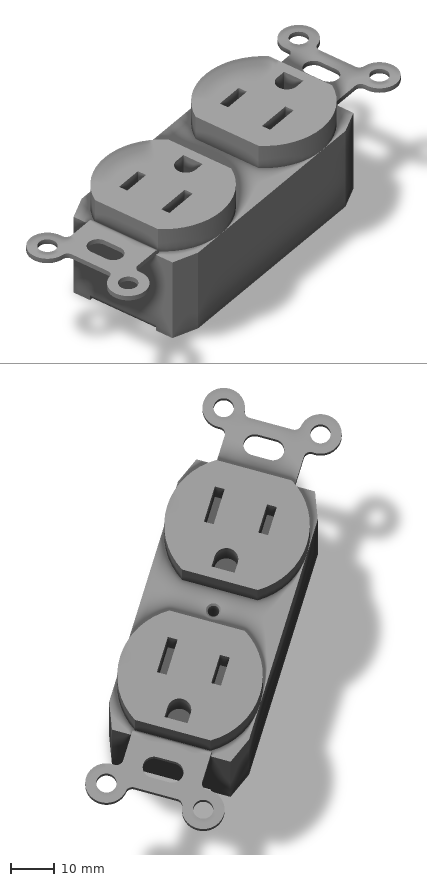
import cadquery as cq
import math

housing_width = 33.6
housing_length = 69.8
housing_height = 22.2
corner_clip_x = 2.6
corner_clip_y = 6.5

face_diameter = housing_width
face_flat_length = 28.3
face_height = 6.5
face_offset = 19.4
face_top = housing_height + face_height

blade_width = 2.3
blade_offset_x = 6.4
blade_offset_y = -3.2
neutral_length = 7.3
hot_length = 9.1
ground_radius = 2.8
ground_arc_y = 8.9
ground_top_y = 11.5
opening_depth = face_height

screw_hole_diameter = 2.7
countersink_diameter = 3.5
screw_hole_depth = housing_height / 2

overall_length = 106.7
strap_width = 19.0
strap_thickness = 1.3
bend_inner_radius = 0.3
bend_outer_radius = bend_inner_radius + strap_thickness
strap_top = housing_height + strap_thickness
leg_outer_y = housing_length / 2
leg_inner_y = leg_outer_y - strap_thickness
leg_bend_y = leg_inner_y + bend_outer_radius

ring_radius = 4.9
ring_hole_diameter = 4.7
ring_offset_x = 11.6
ring_offset_y = overall_length / 2 - ring_radius
ear_end_y = 47.7
ear_fillet = 1.6
ear_slot_length = 9.6
ear_slot_width = 5.2
ear_slot_y = 41.6


def mirror_ends(shape):
    """Return the shape joined with its mirror image at the other end."""
    return shape.union(shape.mirror("XZ"))


def make_strap_strip():
    """Bent strip: bottom web, two legs in the housing ends, bends toward the ears."""
    turn = math.sqrt(0.5)
    lower_center = (leg_outer_y - bend_outer_radius, bend_outer_radius)
    upper_center = (leg_bend_y, strap_top - bend_outer_radius)

    def on_arc(center, radius, side_y, side_z):
        return (center[0] + side_y * radius * turn, center[1] + side_z * radius * turn)

    half_strip = (
        cq.Workplane("YZ")
        .moveTo(0, 0)
        .lineTo(lower_center[0], 0)
        .threePointArc(on_arc(lower_center, bend_outer_radius, 1, -1), (leg_outer_y, lower_center[1]))
        .lineTo(leg_outer_y, upper_center[1])
        .threePointArc(on_arc(upper_center, bend_inner_radius, -1, 1), (leg_bend_y, housing_height))
        .lineTo(leg_bend_y, strap_top)
        .threePointArc(on_arc(upper_center, bend_outer_radius, -1, 1), (leg_inner_y, upper_center[1]))
        .lineTo(leg_inner_y, lower_center[1])
        .threePointArc(
            on_arc(lower_center, bend_inner_radius, 1, -1), (lower_center[0], strap_thickness)
        )
        .lineTo(0, strap_thickness)
        .close()
        .extrude(strap_width / 2, both=True)
    )
    return mirror_ends(half_strip)


def make_ear():
    """Flat ear plate with two rings blended into it."""
    ear = (
        cq.Workplane("XY", origin=(0, (leg_bend_y + ear_end_y) / 2, housing_height))
        .rect(strap_width, ear_end_y - leg_bend_y)
        .extrude(strap_thickness)
    )
    ring_centers = [(-ring_offset_x, ring_offset_y), (ring_offset_x, ring_offset_y)]
    rings = (
        cq.Workplane("XY", origin=(0, 0, housing_height))
        .pushPoints(ring_centers)
        .circle(ring_radius)
        .extrude(strap_thickness)
    )
    end_x = ring_offset_x - math.sqrt(ring_radius**2 - (ear_end_y - ring_offset_y) ** 2)
    side_y = ring_offset_y - math.sqrt(ring_radius**2 - (ring_offset_x - strap_width / 2) ** 2)
    ear = ear.union(rings)
    for x, y in [(end_x, ear_end_y), (strap_width / 2, side_y)]:
        for side in (-1, 1):
            corner_point = (side * x, y, housing_height + strap_thickness / 2)
            corner = cq.selectors.NearestToPointSelector(corner_point)
            ear = ear.edges(corner).fillet(ear_fillet)
    ring_holes = (
        cq.Workplane("XY", origin=(0, 0, housing_height))
        .pushPoints(ring_centers)
        .circle(ring_hole_diameter / 2)
        .extrude(strap_thickness)
    )
    slot = (
        cq.Workplane("XY", origin=(0, ear_slot_y, housing_height))
        .slot2D(ear_slot_length, ear_slot_width)
        .extrude(strap_thickness)
    )
    return ear.cut(ring_holes).cut(slot)


def make_strap():
    """Bent strip with a shaped ear at each end."""
    return make_strap_strip().union(mirror_ends(make_ear()))


def make_block():
    """Housing block with its four vertical corners clipped."""
    block = cq.Workplane("XY").rect(housing_width, housing_length).extrude(housing_height)
    half_x = housing_width / 2
    half_y = housing_length / 2
    for side_x in (-1, 1):
        for side_y in (-1, 1):
            clip = (
                cq.Workplane("XY")
                .moveTo(side_x * half_x, side_y * half_y)
                .lineTo(side_x * (half_x - corner_clip_x), side_y * half_y)
                .lineTo(side_x * half_x, side_y * (half_y - corner_clip_y))
                .close()
                .extrude(housing_height)
            )
            block = block.cut(clip)
    return block


def make_face(center_y):
    """Round receptacle face with flats toward both ends of the housing."""
    base = cq.Workplane("XY", origin=(0, center_y, housing_height))
    disc = base.circle(face_diameter / 2).extrude(face_height)
    flats = base.rect(face_diameter, face_flat_length).extrude(face_height)
    return disc.intersect(flats)


def make_openings(center_y):
    """Two blade slots and the ground opening of one face, as a cutter."""
    top = cq.Workplane("XY", origin=(0, center_y, face_top))
    cutter = (
        top.moveTo(-ground_radius, ground_top_y)
        .lineTo(-ground_radius, ground_arc_y)
        .threePointArc((0, ground_arc_y - ground_radius), (ground_radius, ground_arc_y))
        .lineTo(ground_radius, ground_top_y)
        .close()
        .extrude(-opening_depth)
    )
    for x, length in [(-blade_offset_x, neutral_length), (blade_offset_x, hot_length)]:
        blade_slot = top.center(x, blade_offset_y).rect(blade_width, length).extrude(-opening_depth)
        cutter = cutter.union(blade_slot)
    return cutter


def make_screw_hole():
    """Blind hole with a 45 degree countersink, as a cutter."""
    countersink_depth = (countersink_diameter - screw_hole_diameter) / 2
    return (
        cq.Workplane("XZ")
        .moveTo(0, housing_height)
        .lineTo(countersink_diameter / 2, housing_height)
        .lineTo(screw_hole_diameter / 2, housing_height - countersink_depth)
        .lineTo(screw_hole_diameter / 2, housing_height - screw_hole_depth)
        .lineTo(0, housing_height - screw_hole_depth)
        .close()
        .revolve(360, (0, 0, 0), (0, 1, 0))
    )


def make_bend_clearance():
    """Corner spaces outside the lower strap bends, as a cutter."""
    corner = (
        cq.Workplane("XY", origin=(0, leg_outer_y - bend_outer_radius / 2, 0))
        .rect(strap_width, bend_outer_radius)
        .extrude(bend_outer_radius)
    )
    bend_center_y = leg_outer_y - bend_outer_radius
    bend = (
        cq.Workplane("YZ")
        .center(bend_center_y, bend_outer_radius)
        .circle(bend_outer_radius)
        .extrude(strap_width / 2, both=True)
    )
    return mirror_ends(corner.cut(bend))


def make_housing(strap):
    """Block with two receptacle faces, cut away where the strap lies."""
    housing = make_block()
    for center_y in (-face_offset, face_offset):
        housing = housing.union(make_face(center_y)).cut(make_openings(center_y))
    return housing.cut(make_screw_hole()).cut(strap).cut(make_bend_clearance())


strap = make_strap()
housing = make_housing(strap)

result = cq.Compound.makeCompound([housing.solids().val(), strap.solids().val()])